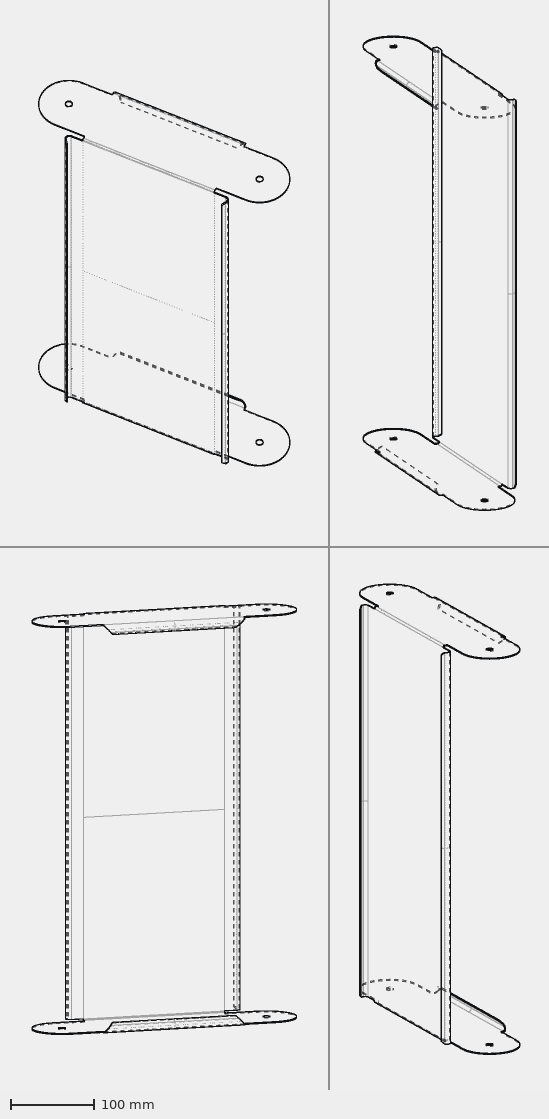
import cadquery as cq
import math

thickness = 1.5
height = 500.0
plate_length = 331.0
plate_width = 73.0
rear_reach = 44.5
front_face = -42.5
hole_diameter = 8.5
hole_spacing = 258.0

bend_radius = 5.5
lip_angle = math.radians(45)
lip_length = 4.5
rear_taper_start = 1.0
panel_taper_start = 9.0

tab_width = 178.0
panel_width = 220.0
panel_end_gap = 3.0
joint_radius = 2.5

rear_bend_start = rear_reach - bend_radius
panel_bend_start = panel_width / 2 - bend_radius
panel_back = front_face + thickness
joint_start = front_face + joint_radius
panel_height = height - 2 * panel_end_gap


def hook(width, taper_start):
    """Hook along Y: sheet top at Z=0, leaving the origin toward +X and curling down and back."""
    inner_radius = bend_radius - thickness
    lip_x = -lip_length * math.sin(lip_angle)
    lip_z = -lip_length * math.cos(lip_angle)

    def first_bend(radius):
        diagonal = radius * math.sqrt(0.5)
        return (diagonal, diagonal - bend_radius)

    def second_bend(radius, angle):
        return (radius * math.cos(angle), -bend_radius - radius * math.sin(angle))

    outer_end = second_bend(bend_radius, lip_angle)
    inner_end = second_bend(inner_radius, lip_angle)
    body = (
        cq.Workplane("XZ")
        .moveTo(0, 0)
        .threePointArc(first_bend(bend_radius), (bend_radius, -bend_radius))
        .threePointArc(second_bend(bend_radius, lip_angle / 2), outer_end)
        .line(lip_x, lip_z)
        .lineTo(inner_end[0] + lip_x, inner_end[1] + lip_z)
        .lineTo(*inner_end)
        .threePointArc(second_bend(inner_radius, lip_angle / 2), (inner_radius, -bend_radius))
        .threePointArc(first_bend(inner_radius), (0, -thickness))
        .close()
        .extrude(width / 2, both=True)
    )
    depth = 2 * bend_radius + lip_length
    taper = depth - taper_start
    envelope = (
        cq.Workplane("YZ")
        .polyline([
            (-width / 2, 0),
            (width / 2, 0),
            (width / 2, -taper_start),
            (width / 2 - taper, -depth),
            (taper - width / 2, -depth),
            (-width / 2, -taper_start),
        ])
        .close()
        .extrude(bend_radius, both=True)
    )
    return body.intersect(envelope)


def end_plate():
    """Top plate with its rear hook and the strip that reaches the panel fold."""
    top = height / 2
    plate = (
        cq.Workplane("XY", origin=(0, 0, top - thickness))
        .slot2D(plate_length, plate_width)
        .extrude(thickness)
    )
    strip = (
        cq.Workplane("XY")
        .box(tab_width, rear_bend_start - joint_start, thickness, centered=(True, False, False))
        .translate((0, joint_start, top - thickness))
    )
    rear_hook = (
        hook(tab_width, rear_taper_start)
        .rotate((0, 0, 0), (0, 0, 1), 90)
        .translate((0, rear_bend_start, top))
    )
    holes = (
        cq.Workplane("XY", origin=(0, 0, top - thickness))
        .pushPoints([(-hole_spacing / 2, 0), (hole_spacing / 2, 0)])
        .circle(hole_diameter / 2)
        .extrude(thickness)
    )
    return plate.union(strip).union(rear_hook).cut(holes)


def folded_joint():
    """Rounded fold that turns the upper strip down into the panel."""
    top = height / 2
    fold_z = top - joint_radius
    inner_radius = joint_radius - thickness
    diagonal = math.sqrt(0.5)

    def mid_fold(radius):
        return (joint_start - radius * diagonal, fold_z + radius * diagonal)

    return (
        cq.Workplane("YZ")
        .moveTo(front_face, 0)
        .lineTo(front_face, fold_z)
        .threePointArc(mid_fold(joint_radius), (joint_start, top))
        .lineTo(joint_start, top - thickness)
        .threePointArc(mid_fold(inner_radius), (joint_start - inner_radius, fold_z))
        .lineTo(panel_back, 0)
        .close()
        .extrude(tab_width / 2, both=True)
    )


def panel():
    """Upright panel with a forward hook on each side."""
    sheet = cq.Workplane("XY").box(2 * panel_bend_start, thickness, panel_height)
    body = sheet.translate((0, front_face + thickness / 2, 0))
    right_hook = (
        hook(panel_height, panel_taper_start)
        .rotate((0, 0, 0), (1, 0, 0), -90)
        .translate((panel_bend_start, panel_back, 0))
    )
    return body.union(right_hook).union(right_hook.mirror("YZ"))


upper_plate = end_plate().union(folded_joint())
result = panel().union(upper_plate).union(upper_plate.mirror("XY"))